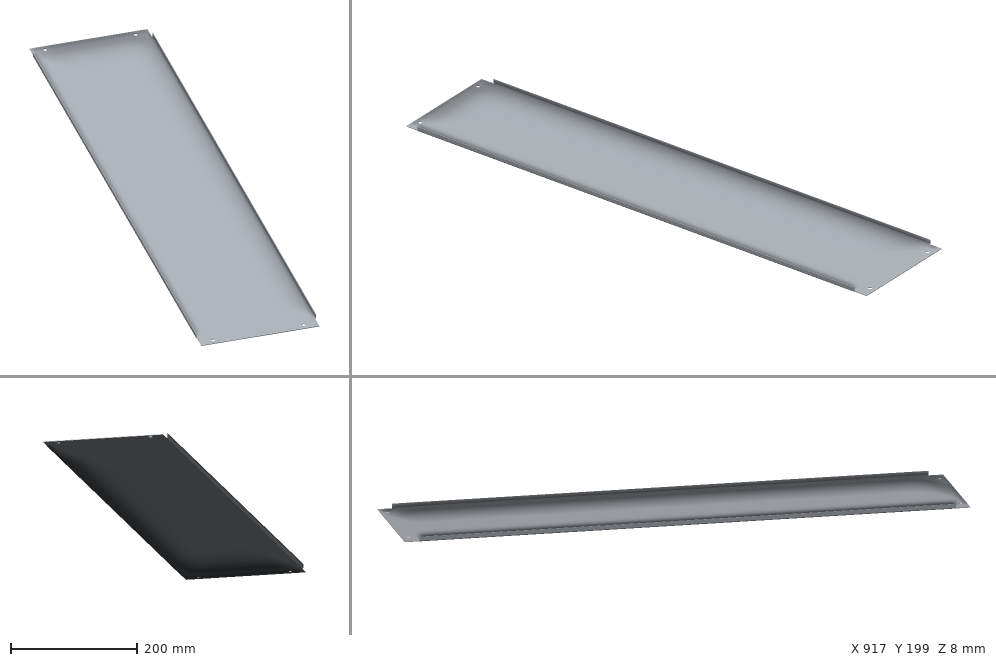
import cadquery as cq

panel_length = 917.0
panel_width = 199.0
panel_height = 8.0

sheet_thickness = 1.0
inner_bend_radius = 1.0
outer_bend_radius = inner_bend_radius + sheet_thickness

flange_end_inset = 23.5
flange_length = panel_length - 2 * flange_end_inset

hole_diameter = 6.5
hole_end_distance = 10.5
hole_spacing_x = panel_length - 2 * hole_end_distance
hole_spacing_y = 150.0

web_width = panel_width - 2 * outer_bend_radius


def make_web():
    """Flat base sheet, with its underside at Z = 0."""
    return cq.Workplane("XY").box(
        panel_length, web_width, sheet_thickness, centered=(True, True, False)
    )


def make_flange():
    """Bend and upright flange along the +Y edge."""
    bend_start = web_width / 2
    outer_face = panel_width / 2
    inner_face = outer_face - sheet_thickness
    return (
        cq.Workplane("YZ", origin=(-flange_length / 2, 0, 0))
        .moveTo(bend_start, 0)
        .radiusArc((outer_face, outer_bend_radius), -outer_bend_radius)
        .lineTo(outer_face, panel_height)
        .lineTo(inner_face, panel_height)
        .lineTo(inner_face, outer_bend_radius)
        .radiusArc((bend_start, sheet_thickness), inner_bend_radius)
        .close()
        .extrude(flange_length)
    )


def make_mounting_holes():
    """Cutters for the four through holes."""
    return (
        cq.Workplane("XY")
        .rect(hole_spacing_x, hole_spacing_y, forConstruction=True)
        .vertices()
        .circle(hole_diameter / 2)
        .extrude(sheet_thickness)
    )


flange = make_flange()
result = (
    make_web()
    .union(flange)
    .union(flange.mirror("XZ"))
    .cut(make_mounting_holes())
)